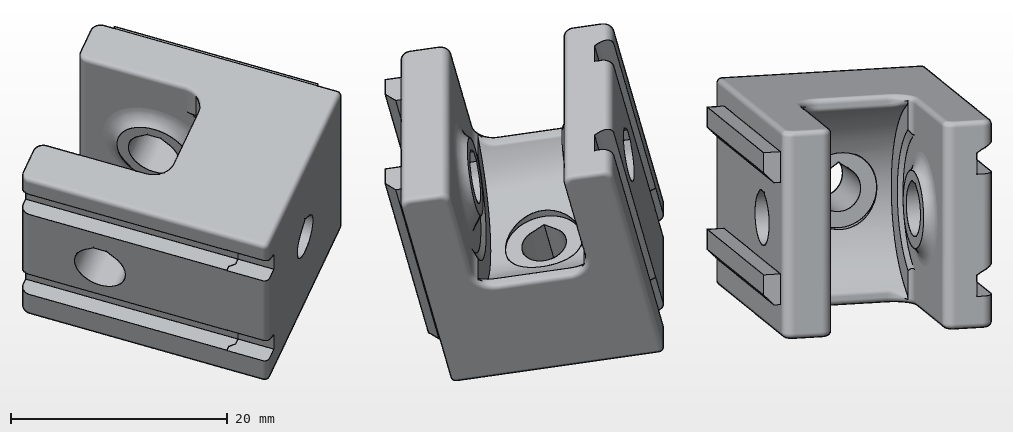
import cadquery as cq
import math

LENGTH = 24.39
WIDTH = 20.0
HEIGHT = 19.6
MID_Y = WIDTH / 2
MID_Z = HEIGHT / 2
EDGE_RADIUS = 0.5
ARM_CORNER_RADIUS = 1.0

SLOT_DEPTH = 12.7
SLOT_WIDTH = 10.68
SLOT_CORNER_RADIUS = 2.0

AXLE_X = 7.9
POCKET_RADIUS = 9.9
POCKET_WIDTH = 10.0
POCKET_LIP_RADIUS = 0.5
RECESS_RADIUS = 7.0
RECESS_OUTER_RADIUS = 7.75
BOSS_RADIUS = 7.25 / 2
BOSS_BASE_RADIUS = 5.3
BOSS_GAP = 8.9

ROOF_ANGLE = math.radians(35)
AXLE_HOLE_RADIUS = 2.5
AXLE_HOLE_TOP = 2.6
SCREW_HOLE_RADIUS = 2.1
SEAT_DIAMETER = 7.25
SEAT_X = 17.9

RAIL_PITCH = 11.55
LOWER_RAIL_Z = 3.05
RAIL_DEPTH = 1.61
RAIL_HEIGHT = 2.9
RIB_START_X = 1.4
RIB_LENGTH = 20.0
RIB_CHAMFER = 1.0
GROOVE_WALL_HEIGHT = 2.0
GROOVE_BEND_DEPTH = 1.2
GROOVE_BEND_HEIGHT = 2.28
RELIEF_CLEARANCE = 0.02
RELIEF_START_X = 20.87
RELIEF_STEP = 0.5
RELIEF_STEP_DEPTH = 0.5


def make_slot():
    """Slot volume with rounded inner corners, running past the top and bottom of the block."""
    return (
        cq.Workplane("XY", origin=(0, MID_Y, MID_Z))
        .box(2 * SLOT_DEPTH, SLOT_WIDTH, 2 * HEIGHT)
        .edges("|Z and >X")
        .fillet(SLOT_CORNER_RADIUS)
    )


def make_block():
    """U-shaped block with rounded edges."""
    block = cq.Workplane("XY").box(LENGTH, WIDTH, HEIGHT, centered=False)
    block = block.cut(make_slot())
    block = block.edges("|Z and <X").fillet(ARM_CORNER_RADIUS)
    block = block.edges("|Z and >X").fillet(EDGE_RADIUS)
    return block.faces("<Z or >Z").edges().fillet(EDGE_RADIUS)


def make_wheel_pocket():
    """Round pocket behind the slot, blended into the slot's end wall.

    The blend is made on a drum slightly wider than the pocket, then trimmed to the pocket width.
    """
    center = (AXLE_X, MID_Y, MID_Z)
    drum_half_width = (POCKET_WIDTH + SLOT_WIDTH) / 4
    drum = cq.Workplane("XZ", origin=center).circle(POCKET_RADIUS).extrude(drum_half_width, both=True)
    pocket = make_slot().union(drum)
    lip_rise = math.sqrt(POCKET_RADIUS**2 - (SLOT_DEPTH - AXLE_X) ** 2)
    for side in (-1, 1):
        lip_point = (SLOT_DEPTH, MID_Y, MID_Z + side * lip_rise)
        lip = cq.selectors.NearestToPointSelector(lip_point)
        pocket = pocket.edges(lip).fillet(POCKET_LIP_RADIUS)
    trim = cq.Workplane("XY", origin=center).box(2 * LENGTH, POCKET_WIDTH, 2 * HEIGHT)
    return pocket.intersect(trim)


def make_hub_space():
    """Turned clearance from the middle plane to the +Y arm, leaving the hub boss standing."""
    boss_y = BOSS_GAP / 2
    wall_y = SLOT_WIDTH / 2
    rim_y = POCKET_WIDTH / 2
    flare_run = BOSS_BASE_RADIUS - BOSS_RADIUS
    flare_rise = wall_y - boss_y
    flare_radius = (flare_run**2 + flare_rise**2) / (2 * flare_rise)
    half_run = flare_run / 2
    mid_rise = flare_radius - math.sqrt(flare_radius**2 - half_run**2)
    profile = (
        cq.Workplane("XY")
        .lineTo(0, boss_y)
        .lineTo(BOSS_RADIUS, boss_y)
        .threePointArc(
            (BOSS_BASE_RADIUS - half_run, wall_y - mid_rise),
            (BOSS_BASE_RADIUS, wall_y),
        )
        .lineTo(RECESS_RADIUS, wall_y)
        .lineTo(RECESS_OUTER_RADIUS, rim_y)
        .lineTo(RECESS_OUTER_RADIUS, 0)
        .close()
    )
    return profile.revolve(360, (0, 0, 0), (0, 1, 0)).translate((AXLE_X, MID_Y, MID_Z))


def make_boss():
    """Hub boss on the +Y arm: flared disc standing on the slot wall."""
    wall_y = SLOT_WIDTH / 2
    blank = (
        cq.Workplane("XZ", origin=(AXLE_X, MID_Y + wall_y, MID_Z))
        .circle(BOSS_BASE_RADIUS)
        .extrude(wall_y)
    )
    return blank.cut(make_hub_space())


def mirror_y(shape):
    return shape.mirror("XZ", (0, MID_Y, 0))


def peaked_outline(plane, radius, top):
    """Circle with a two-sided roof tangent to it, cut flat at the given height."""
    side_x = radius * math.sin(ROOF_ANGLE)
    side_y = radius * math.cos(ROOF_ANGLE)
    flat_x = (radius - top * math.cos(ROOF_ANGLE)) / math.sin(ROOF_ANGLE)
    outline = plane.moveTo(-side_x, side_y).threePointArc((0, -radius), (side_x, side_y))
    outline = outline.lineTo(flat_x, top)
    if flat_x > 0:
        outline = outline.lineTo(-flat_x, top)
    return outline.close()


def make_axle_hole():
    plane = cq.Workplane("XZ", origin=(AXLE_X, 0, MID_Z))
    return peaked_outline(plane, AXLE_HOLE_RADIUS, AXLE_HOLE_TOP).extrude(-WIDTH)


def make_screw_hole():
    """Peaked hole through the back wall with a flat round seat in the pocket."""
    plane = cq.Workplane("YZ", origin=(AXLE_X, MID_Y, MID_Z))
    peak = SCREW_HOLE_RADIUS / math.cos(ROOF_ANGLE)
    hole = peaked_outline(plane, SCREW_HOLE_RADIUS, peak).extrude(LENGTH - AXLE_X)
    seat = plane.circle(SEAT_DIAMETER / 2).extrude(SEAT_X - AXLE_X)
    return hole.union(seat)


def make_rib(bottom_z):
    """Rib on the +Y side with its lower outer edge bevelled."""
    return (
        cq.Workplane("YZ", origin=(RIB_START_X, WIDTH, bottom_z))
        .moveTo(-EDGE_RADIUS, 0)
        .lineTo(RAIL_DEPTH - RIB_CHAMFER, 0)
        .lineTo(RAIL_DEPTH, RIB_CHAMFER)
        .lineTo(RAIL_DEPTH, RAIL_HEIGHT)
        .lineTo(-EDGE_RADIUS, RAIL_HEIGHT)
        .close()
        .extrude(RIB_LENGTH)
    )


def make_groove(bottom_z):
    """Groove along the -Y side with a flat floor and a bevelled roof."""
    return (
        cq.Workplane("YZ", origin=(0, 0, bottom_z))
        .lineTo(RAIL_DEPTH, 0)
        .lineTo(RAIL_DEPTH, GROOVE_WALL_HEIGHT)
        .lineTo(GROOVE_BEND_DEPTH, GROOVE_BEND_HEIGHT)
        .lineTo(0, RAIL_HEIGHT)
        .close()
        .extrude(LENGTH)
    )


def make_groove_relief(bottom_z):
    """Slightly roomier end of a groove, longer and roomier near the outer face."""
    slope_depth = RELIEF_STEP_DEPTH + RELIEF_STEP
    depth = RAIL_DEPTH + RELIEF_CLEARANCE
    section = (
        cq.Workplane("YZ", origin=(0, 0, bottom_z))
        .moveTo(0, -2 * RELIEF_CLEARANCE)
        .lineTo(RELIEF_STEP_DEPTH, -2 * RELIEF_CLEARANCE)
        .lineTo(slope_depth, -RELIEF_CLEARANCE)
        .lineTo(depth, -RELIEF_CLEARANCE)
        .lineTo(depth, GROOVE_WALL_HEIGHT + RELIEF_CLEARANCE)
        .lineTo(GROOVE_BEND_DEPTH, GROOVE_BEND_HEIGHT + RELIEF_CLEARANCE)
        .lineTo(0, RAIL_HEIGHT + RELIEF_CLEARANCE)
        .close()
        .extrude(LENGTH)
    )
    zone = (
        cq.Workplane("XY")
        .moveTo(RELIEF_START_X - RELIEF_STEP, 0)
        .lineTo(RELIEF_START_X - RELIEF_STEP, RELIEF_STEP_DEPTH)
        .lineTo(RELIEF_START_X, slope_depth)
        .lineTo(RELIEF_START_X, depth)
        .lineTo(LENGTH, depth)
        .lineTo(LENGTH, 0)
        .close()
        .extrude(HEIGHT)
    )
    return section.intersect(zone)


hub_space = make_hub_space()
boss = make_boss()
result = make_block()
result = result.cut(make_wheel_pocket())
result = result.cut(hub_space).cut(mirror_y(hub_space))
result = result.union(boss).union(mirror_y(boss))
result = result.cut(make_axle_hole()).cut(make_screw_hole())
for rail_z in (LOWER_RAIL_Z, LOWER_RAIL_Z + RAIL_PITCH):
    result = result.union(make_rib(rail_z))
    result = result.cut(make_groove(rail_z)).cut(make_groove_relief(rail_z))